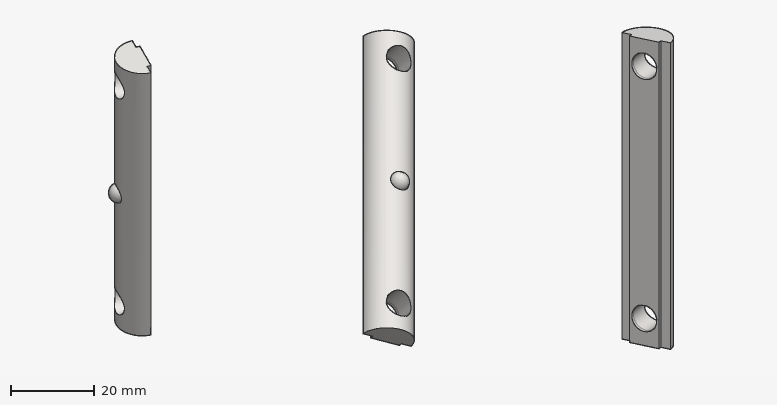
import cadquery as cq

length = 80.0
bar_radius = 6.64
body_depth = 7.5
rib_width = 8.0
rib_height = 1.0

hole_diameter = 6.8
hole_end_distance = 7.1

ball_radius = 2.5
ball_protrusion = 1.8

shoulder_y = body_depth - bar_radius - rib_height
rib_y = shoulder_y + rib_height


def make_bar():
    """Round-fronted bar, centred on Z = 0, with its shoulders trimmed flat."""
    trim_depth = bar_radius + shoulder_y
    round_bar = cq.Workplane("XY").circle(bar_radius).extrude(length / 2, both=True)
    front_half = cq.Workplane("XY").box(2 * bar_radius, trim_depth, length).translate(
        (0, shoulder_y - trim_depth / 2, 0)
    )
    return round_bar.intersect(front_half)


def make_rib():
    """Flat rib along the back, rooted inside the bar."""
    root_depth = rib_height
    full_depth = rib_height + root_depth
    rib = cq.Workplane("XY").box(rib_width, full_depth, length)
    return rib.translate((0, rib_y - full_depth / 2, 0))


def make_holes():
    """Cutters for the through holes, running along Y."""
    offset = length / 2 - hole_end_distance
    return (
        cq.Workplane("XZ")
        .pushPoints([(0, -offset), (0, offset)])
        .circle(hole_diameter / 2)
        .extrude(body_depth, both=True)
    )


def make_ball():
    """Ball partly sunk into the crown of the round side."""
    center_y = -bar_radius - ball_protrusion + ball_radius
    return cq.Workplane("XY").sphere(ball_radius).translate((0, center_y, 0))


result = make_bar().union(make_rib()).cut(make_holes()).union(make_ball())